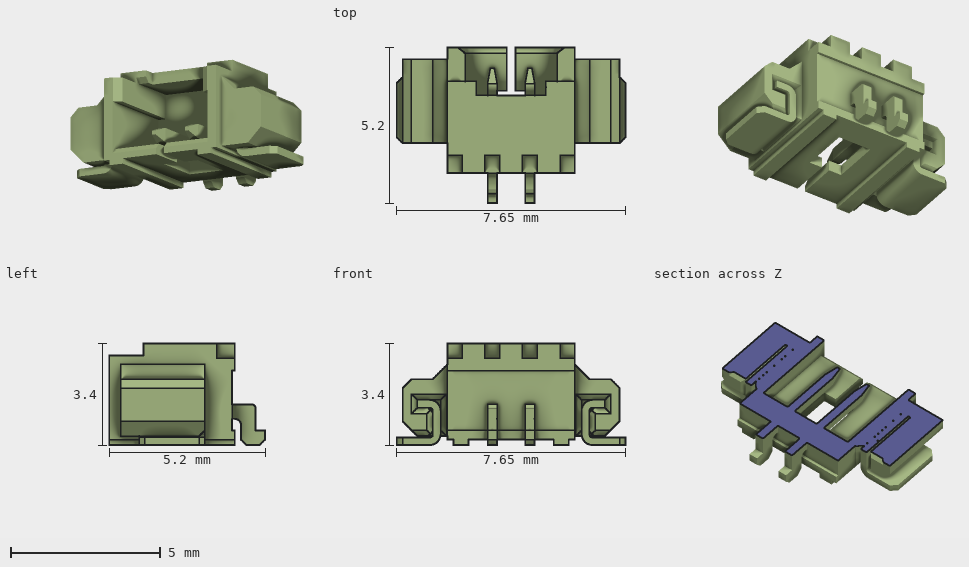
import cadquery as cq


HOUSING_WIDTH = 4.26
HOUSING_DEPTH = 4.2
HOUSING_BOTTOM = 0.18
HOUSING_TOP = 3.4
REAR_TOP = 3.0
ROOF_DEPTH = 3.06
ROOF_NOTCH_WIDTH = 2.325
ROOF_NOTCH_DEPTH = 0.47
FRONT_RECESS = 0.1
FRONT_RECESS_BOTTOM = 0.49
FRONT_RECESS_TOP = 2.49
RIB_WIDTH = 0.51
RIB_OFFSET = 1.675

PIN_COUNT = 2
PIN_PITCH = 1.255
NOTCH_WIDTH = 0.5
NOTCH_DEPTH = 0.605
NOTCH_BOTTOM = 2.91

CAVITY_FRONT = 1.0
CAVITY_FLOOR = 0.58
CAVITY_WIDTH = 3.07
SIDE_GROOVE_WIDTH = 3.625
SIDE_GROOVE_TOP = 2.17
MOUTH_CHAMFER_DEPTH = 0.19
MOUTH_CHAMFER_SIDE = 0.26
MOUTH_CHAMFER_HEIGHT = 0.18
FLOOR_SLOT_WIDTH = 0.29
FLOOR_WINDOW_WIDTH = 1.255
FLOOR_WINDOW_REAR = 2.75

PIN_WIDTH = 0.32
PIN_THICKNESS = 0.49
PIN_TOP = 1.36
PIN_BEND_FRONT = -0.69
PIN_TOE_FRONT = -1.0
PIN_TOE_HEIGHT = 0.49
PIN_TOE_CHAMFER = 0.18
PIN_OUTER_RADIUS = 0.13
PIN_INNER_RADIUS = 0.2
PIN_TAPER_START = 2.99
PIN_END = 3.5
PIN_TIP_SIZE = 0.13

ARM_FRONT = 1.0
ARM_REAR = 3.81
ARM_OUTER = 3.625
ARM_BOTTOM = 0.3
ARM_SHOULDER = 2.2
ARM_TOP_CHAMFER = 0.3
ARM_BOTTOM_CHAMFER = 0.5
ARM_GUSSET = 0.49

OVERALL_WIDTH = 7.65
CLIP_REAR = 3.205
CLIP_THICKNESS = 0.26
CLIP_INNER_X = 2.36
CLIP_TOP = 1.51
CLIP_HOOK_END = 3.13
CLIP_INNER_RADIUS = 0.1
FOOT_CHAMFER = 0.2

SLOT_FLARE = 0.2
TONGUE_CHAMFER = 0.15

HOUSING_HALF = HOUSING_WIDTH / 2
CLIP_OUTER_X = CLIP_INNER_X + CLIP_THICKNESS
HOOK_BOTTOM = CLIP_TOP - CLIP_THICKNESS


def box(x_min, x_max, y_min, y_max, z_min, z_max):
    """Axis-aligned block between the given limits."""
    size = (x_max - x_min, y_max - y_min, z_max - z_min)
    return cq.Workplane("XY").box(*size, centered=False).translate((x_min, y_min, z_min))


def centered_box(width, y_min, y_max, z_min, z_max, x_center=0.0):
    """Block of the given width, centred on x_center."""
    return box(x_center - width / 2, x_center + width / 2, y_min, y_max, z_min, z_max)


def plane_at_y(y):
    """Workplane with local axes +X and +Z, where negative extrusions run toward +Y."""
    return cq.Workplane("XZ", origin=(0, y, 0))


def make_shell():
    """Outer block with its low rear top, front recess and standing ribs."""
    shell = centered_box(HOUSING_WIDTH, 0, HOUSING_DEPTH, HOUSING_BOTTOM, HOUSING_TOP)
    shell = shell.cut(centered_box(HOUSING_WIDTH, ROOF_DEPTH, HOUSING_DEPTH, REAR_TOP, HOUSING_TOP))
    shell = shell.cut(
        centered_box(HOUSING_WIDTH, 0, FRONT_RECESS, FRONT_RECESS_BOTTOM, FRONT_RECESS_TOP)
    )
    for side in (-1, 1):
        shell = shell.union(
            centered_box(RIB_WIDTH, 0, HOUSING_DEPTH, 0, HOUSING_BOTTOM, side * RIB_OFFSET)
        )
    return shell


def cut_top_notches(shell):
    """Notches above each pin and at both front corners, plus the wide rear roof notch."""
    for index in range(-1, PIN_COUNT + 1):
        center = (index - (PIN_COUNT - 1) / 2) * PIN_PITCH
        shell = shell.cut(
            centered_box(NOTCH_WIDTH, 0, NOTCH_DEPTH, NOTCH_BOTTOM, HOUSING_TOP, center)
        )
    notch_front = ROOF_DEPTH - ROOF_NOTCH_DEPTH
    return shell.cut(
        centered_box(ROOF_NOTCH_WIDTH, notch_front, ROOF_DEPTH, REAR_TOP, HOUSING_TOP)
    )


def cut_cavity(shell):
    """Cavity with grooved sides, open at the top behind the roof and chamfered at its mouth."""
    shell = shell.cut(
        centered_box(CAVITY_WIDTH, CAVITY_FRONT, HOUSING_DEPTH, CAVITY_FLOOR, REAR_TOP)
    )
    shell = shell.cut(
        centered_box(SIDE_GROOVE_WIDTH, CAVITY_FRONT, HOUSING_DEPTH, CAVITY_FLOOR, SIDE_GROOVE_TOP)
    )
    return shell.cut(make_side_lead_in()).cut(make_floor_lead_in()).cut(make_roof_lead_in())


def make_side_lead_in():
    """Sloped lead-in on both side walls at the mouth."""
    half = CAVITY_WIDTH / 2
    lead_in_front = HOUSING_DEPTH - MOUTH_CHAMFER_DEPTH
    return (
        cq.Workplane("XY", origin=(0, 0, CAVITY_FLOOR))
        .polyline([
            (-half, lead_in_front),
            (half, lead_in_front),
            (half + MOUTH_CHAMFER_SIDE, HOUSING_DEPTH),
            (-half - MOUTH_CHAMFER_SIDE, HOUSING_DEPTH),
        ])
        .close()
        .extrude(REAR_TOP - CAVITY_FLOOR)
    )


def make_floor_lead_in():
    """Sloped lead-in on the cavity floor at the mouth."""
    return (
        cq.Workplane("YZ")
        .polyline([
            (HOUSING_DEPTH - MOUTH_CHAMFER_DEPTH, CAVITY_FLOOR),
            (HOUSING_DEPTH, CAVITY_FLOOR),
            (HOUSING_DEPTH, CAVITY_FLOOR - MOUTH_CHAMFER_HEIGHT),
        ])
        .close()
        .extrude(SIDE_GROOVE_WIDTH / 2, both=True)
    )


def make_roof_lead_in():
    """Sloped lead-in under the rear edge of the roof."""
    return (
        cq.Workplane("YZ")
        .polyline([
            (ROOF_DEPTH - MOUTH_CHAMFER_DEPTH, REAR_TOP),
            (ROOF_DEPTH, REAR_TOP),
            (ROOF_DEPTH, REAR_TOP + MOUTH_CHAMFER_HEIGHT),
        ])
        .close()
        .extrude(CAVITY_WIDTH / 2, both=True)
    )


def cut_floor_slot(shell):
    """Slot through the floor from the mouth, widening into a window under the pins."""
    shell = shell.cut(
        centered_box(FLOOR_SLOT_WIDTH, FLOOR_WINDOW_REAR, HOUSING_DEPTH, HOUSING_BOTTOM, CAVITY_FLOOR)
    )
    return shell.cut(
        centered_box(FLOOR_WINDOW_WIDTH, CAVITY_FRONT, FLOOR_WINDOW_REAR, HOUSING_BOTTOM, CAVITY_FLOOR)
    )


def make_pin(x_center):
    """Bent pin: solder toe, upright, straight contact and tapered tip."""
    bottom = PIN_TOP - PIN_THICKNESS
    upright_rear = PIN_BEND_FRONT + PIN_THICKNESS
    pin = (
        cq.Workplane("YZ", origin=(x_center, 0, 0))
        .moveTo(PIN_TAPER_START, bottom)
        .lineTo(upright_rear + PIN_INNER_RADIUS, bottom)
        .tangentArcPoint((upright_rear, bottom - PIN_INNER_RADIUS), relative=False)
        .lineTo(upright_rear, PIN_TOE_CHAMFER)
        .lineTo(upright_rear - PIN_TOE_CHAMFER, 0)
        .lineTo(PIN_TOE_FRONT + PIN_TOE_CHAMFER, 0)
        .lineTo(PIN_TOE_FRONT, PIN_TOE_CHAMFER)
        .lineTo(PIN_TOE_FRONT, PIN_TOE_HEIGHT)
        .lineTo(PIN_BEND_FRONT, PIN_TOE_HEIGHT)
        .lineTo(PIN_BEND_FRONT, PIN_TOP - PIN_OUTER_RADIUS)
        .tangentArcPoint((PIN_BEND_FRONT + PIN_OUTER_RADIUS, PIN_TOP), relative=False)
        .lineTo(PIN_TAPER_START, PIN_TOP)
        .close()
        .extrude(PIN_WIDTH / 2, both=True)
    )
    tip = (
        cq.Workplane("XZ", origin=(x_center, PIN_TAPER_START, PIN_TOP - PIN_THICKNESS / 2))
        .rect(PIN_WIDTH, PIN_THICKNESS)
        .workplane(offset=PIN_TAPER_START - PIN_END)
        .rect(PIN_TIP_SIZE, PIN_TIP_SIZE)
        .loft(ruled=True)
    )
    return pin.union(tip)


def channel_outline(flare):
    """Hook-shaped outline of the clip slot, widened by flare and left open below the arm."""
    return [
        (CLIP_INNER_X - flare, 0),
        (CLIP_INNER_X - flare, CLIP_TOP + flare),
        (CLIP_HOOK_END + flare, CLIP_TOP + flare),
        (CLIP_HOOK_END + flare, HOOK_BOTTOM - flare),
        (CLIP_OUTER_X + flare, HOOK_BOTTOM - flare),
        (CLIP_OUTER_X + flare, 0),
    ]


def cut_triangle(body, corner, leg_x, leg_z):
    """Bevel a slot corner along the slot, with signed leg lengths from the corner."""
    x, z = corner
    wedge = (
        plane_at_y(ARM_FRONT)
        .polyline([(x, z), (x + leg_x, z), (x, z + leg_z)])
        .close()
        .extrude(ARM_FRONT - CLIP_REAR)
    )
    return body.cut(wedge)


def make_arm():
    """Arm on the +X side, with the blind slot that holds the clip."""
    inner = HOUSING_HALF
    arm = (
        plane_at_y(ARM_FRONT)
        .polyline([
            (inner, ARM_BOTTOM),
            (ARM_OUTER - ARM_BOTTOM_CHAMFER, ARM_BOTTOM),
            (ARM_OUTER, ARM_BOTTOM + ARM_BOTTOM_CHAMFER),
            (ARM_OUTER, ARM_SHOULDER - ARM_TOP_CHAMFER),
            (ARM_OUTER - ARM_TOP_CHAMFER, ARM_SHOULDER),
            (inner + ARM_GUSSET, ARM_SHOULDER),
            (inner, ARM_SHOULDER + ARM_GUSSET),
        ])
        .close()
        .extrude(ARM_FRONT - ARM_REAR)
    )
    channel = plane_at_y(ARM_FRONT).polyline(channel_outline(0)).close().extrude(ARM_FRONT - CLIP_REAR)
    funnel = (
        plane_at_y(ARM_FRONT)
        .polyline(channel_outline(SLOT_FLARE))
        .close()
        .workplane(offset=-SLOT_FLARE)
        .polyline(channel_outline(0))
        .close()
        .loft(ruled=True)
    )
    front_bevel = (
        cq.Workplane("YZ", origin=(CLIP_OUTER_X, 0, 0))
        .polyline([
            (ARM_FRONT, ARM_BOTTOM),
            (ARM_FRONT + SLOT_FLARE, ARM_BOTTOM),
            (ARM_FRONT, ARM_BOTTOM + SLOT_FLARE),
        ])
        .close()
        .extrude(ARM_OUTER - CLIP_OUTER_X)
    )
    arm = arm.cut(channel).cut(funnel).cut(front_bevel)
    arm = cut_triangle(arm, (CLIP_OUTER_X, HOOK_BOTTOM), TONGUE_CHAMFER, -TONGUE_CHAMFER)
    arm = cut_triangle(arm, (CLIP_OUTER_X, ARM_BOTTOM), TONGUE_CHAMFER, TONGUE_CHAMFER)
    return cut_triangle(arm, (CLIP_INNER_X, ARM_BOTTOM), -SLOT_FLARE, SLOT_FLARE)


def make_clip():
    """Clip on the +X side: flat foot, upright and hook, bent from one strip."""
    inner_radius = CLIP_INNER_RADIUS
    outer_radius = CLIP_INNER_RADIUS + CLIP_THICKNESS
    bend_x = CLIP_INNER_X + outer_radius
    foot_end = OVERALL_WIDTH / 2
    clip = (
        plane_at_y(ARM_FRONT)
        .moveTo(foot_end, 0)
        .lineTo(bend_x, 0)
        .tangentArcPoint((CLIP_INNER_X, outer_radius), relative=False)
        .lineTo(CLIP_INNER_X, CLIP_TOP - outer_radius)
        .tangentArcPoint((bend_x, CLIP_TOP), relative=False)
        .lineTo(CLIP_HOOK_END, CLIP_TOP)
        .lineTo(CLIP_HOOK_END, HOOK_BOTTOM)
        .lineTo(bend_x, HOOK_BOTTOM)
        .tangentArcPoint((CLIP_OUTER_X, HOOK_BOTTOM - inner_radius), relative=False)
        .lineTo(CLIP_OUTER_X, CLIP_THICKNESS + inner_radius)
        .tangentArcPoint((bend_x, CLIP_THICKNESS), relative=False)
        .lineTo(foot_end, CLIP_THICKNESS)
        .close()
        .extrude(ARM_FRONT - CLIP_REAR)
    )
    return clip.faces(">X").edges("|Z").chamfer(FOOT_CHAMFER)


housing = cut_floor_slot(cut_cavity(cut_top_notches(make_shell())))

side_assembly = make_arm().union(make_clip())
result = housing.union(side_assembly).union(side_assembly.mirror("YZ"))

for pin_index in range(PIN_COUNT):
    result = result.union(make_pin((pin_index - (PIN_COUNT - 1) / 2) * PIN_PITCH))